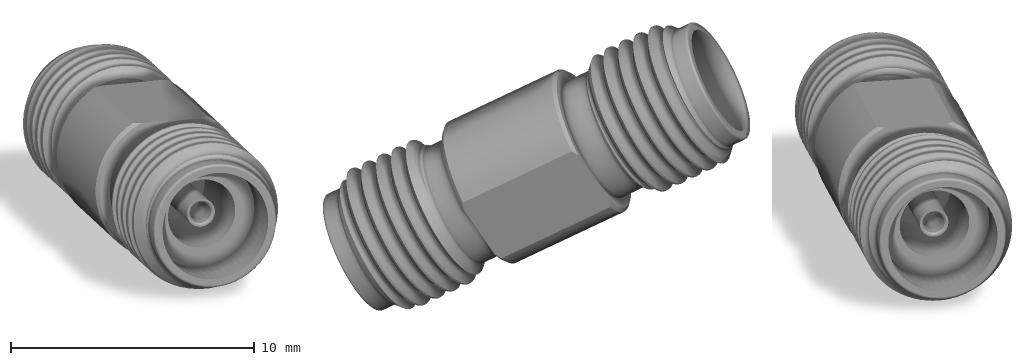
import cadquery as cq
import math

length = 17.32

body_diameter = 6.45
body_length = 5.44
body_across_flats = 5.6
body_chamfer = 0.14

barrel_diameter = 5.3
rim_round = 0.1

thread_diameter = 6.35
thread_root_diameter = 5.44
thread_start = 0.75
thread_end = 4.8
thread_flank_angle = 30.0
thread_root_flat = 0.09
groove_start = 0.28
groove_length = 4.94
groove_turns = 7
thread_pitch = groove_length / groove_turns
groove_overshoot = 0.05

socket_diameter = 4.57
socket_depth = 1.85
inner_bore_diameter = 2.91

contact_diameter = 1.2
contact_recess = 0.07
contact_hole_diameter = 0.9
contact_hole_depth = 1.73
contact_countersink_width = 0.07
contact_countersink_angle = 90.0

body_start = (length - body_length) / 2
body_end = body_start + body_length
inner_bore_end = body_start


def rod(start, end, diameter):
    """Solid cylinder on the X axis between two stations."""
    return cq.Workplane("YZ").workplane(offset=start).circle(diameter / 2).extrude(end - start)


def make_body():
    """Ring around the barrels with chamfered ends and two flats facing up and down."""
    cylinder = rod(body_start, body_end, body_diameter).edges().chamfer(body_chamfer)
    flats = cq.Workplane("XY").box(2 * length, 2 * body_diameter, body_across_flats)
    return cylinder.intersect(flats).cut(rod(body_start, body_end, barrel_diameter))


def make_thread_groove():
    """Helical V groove around the Z axis, bounded by ruled faces between four helices."""
    root_radius = thread_root_diameter / 2
    outer_radius = thread_diameter / 2 + groove_overshoot
    root_half_width = thread_root_flat / 2
    flank_run = (outer_radius - root_radius) * math.tan(math.radians(thread_flank_angle))
    outer_half_width = root_half_width + flank_run
    corners = [
        (root_radius, -root_half_width),
        (outer_radius, -outer_half_width),
        (outer_radius, outer_half_width),
        (root_radius, root_half_width),
    ]

    helices = [
        cq.Wire.makeHelix(thread_pitch, groove_length, radius, cq.Vector(0, 0, height))
        for radius, height in corners
    ]
    faces = []
    for index, helix in enumerate(helices):
        next_helix = helices[(index + 1) % len(helices)]
        faces.extend(cq.Face.makeRuledSurface(helix, next_helix).Faces())
    for rise in (0, groove_length):
        outline = [cq.Vector(radius, 0, height + rise) for radius, height in corners]
        faces.append(cq.Face.makeFromWires(cq.Wire.makePolygon(outline, close=True)))

    groove = cq.Solid.makeSolid(cq.Shell.makeShell(faces))
    return cq.Workplane(groove).translate((0, 0, groove_start))


def make_thread():
    """Threaded collar, cut around Z and bevelled down to the barrel at both ends, then laid along X."""
    bevel = (thread_diameter - barrel_diameter) / 2
    blank = (
        cq.Workplane("XY").workplane(offset=thread_start)
        .circle(thread_diameter / 2).extrude(thread_end - thread_start)
    )
    bevelled_blank = blank.edges().chamfer(bevel)
    collar = blank.cut(make_thread_groove()).intersect(bevelled_blank)
    return collar.rotate((0, 0, 0), (0, 1, 0), 90)


def make_contact():
    """Hollow contact with a countersunk mouth."""
    contact = rod(contact_recess + socket_depth, inner_bore_end, contact_diameter)
    countersink_diameter = contact_hole_diameter + 2 * contact_countersink_width
    return (
        contact.faces("<X").workplane()
        .cskHole(contact_hole_diameter, countersink_diameter, contact_countersink_angle, contact_hole_depth)
    )


def make_jack():
    """Left-hand jack: threaded barrel, stepped socket and centre contact."""
    barrel = rod(0, length / 2, barrel_diameter).faces("<X").edges().fillet(rim_round)
    socket = rod(0, socket_depth, socket_diameter)
    inner_bore = rod(socket_depth, inner_bore_end, inner_bore_diameter)
    shell = barrel.union(make_thread()).cut(socket).cut(inner_bore)
    return shell.union(make_contact())


left_jack = make_jack()
right_jack = left_jack.rotate((length / 2, 0, 0), (length / 2, 1, 0), 180)
result = left_jack.union(right_jack).union(make_body()).solids()